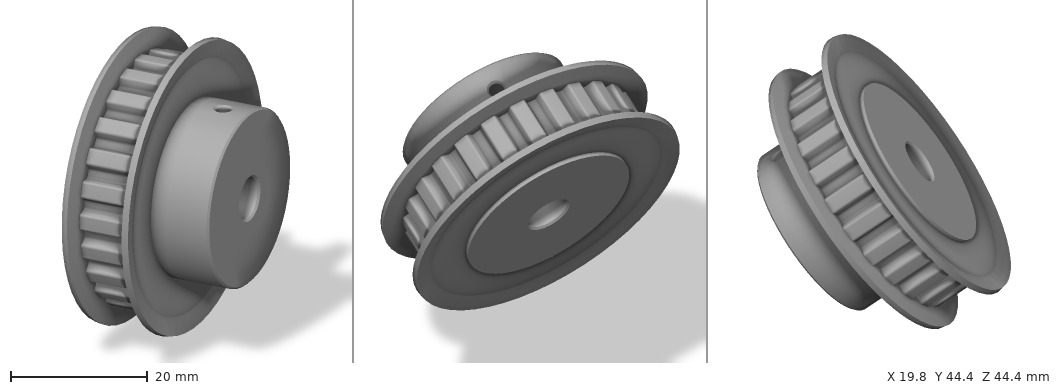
import cadquery as cq
import math

overall_length = 19.82
boss_height = 0.65
flange_thickness = 1.0
belt_width = 7.82

flange_radius = 22.22
flat_radius = 19.3
dish_angle = math.radians(11)

tooth_count = 24
tip_radius = 19.15
groove_depth = 1.42
groove_floor_width = 1.35
groove_flank_angle = math.radians(25)
tooth_fillet = 0.41

hub_radius = 13.5
bore_radius = 3.2
edge_chamfer = 0.302

screw_x = 15.5
screw_hole_radius = 1.15
screw_mouth_radius = 1.5

teeth_start = boss_height + flange_thickness
teeth_end = teeth_start + belt_width
teeth_middle = (teeth_start + teeth_end) / 2
pitch_angle = 360 / tooth_count


def x_cylinder(radius, x_start, x_end):
    return cq.Workplane("YZ", origin=(x_start, 0, 0)).circle(radius).extrude(x_end - x_start)


def toothed_rim():
    """Cylinder with tapered grooves, rounded at the tooth tips and groove roots."""
    floor_z = tip_radius - groove_depth
    cutter_top_z = tip_radius + groove_depth
    floor_half = groove_floor_width / 2
    top_half = floor_half + (cutter_top_z - floor_z) * math.tan(groove_flank_angle)
    groove = (
        cq.Workplane("YZ", origin=(teeth_start, 0, 0))
        .polyline([
            (-floor_half, floor_z),
            (floor_half, floor_z),
            (top_half, cutter_top_z),
            (-top_half, cutter_top_z),
        ])
        .close()
        .extrude(belt_width)
    )
    axis_start, axis_end = (0, 0, 0), (1, 0, 0)
    rim = x_cylinder(tip_radius, teeth_start, teeth_end).rotate(axis_start, axis_end, pitch_angle / 2)
    for index in range(tooth_count):
        rim = rim.cut(groove.rotate(axis_start, axis_end, (index + 0.5) * pitch_angle))
    return rim.edges("|X").fillet(tooth_fillet)


def left_flange():
    """Sheet disc of even thickness whose edge is bent outward, away from the teeth."""
    rim_outer_radius = flange_radius - flange_thickness * math.sin(dish_angle)
    rim_outer_x = boss_height - (rim_outer_radius - flat_radius) * math.tan(dish_angle)
    rim_inner_x = rim_outer_x + flange_thickness * math.cos(dish_angle)
    inner_flat_radius = flange_radius - (teeth_start - rim_inner_x) / math.tan(dish_angle)
    return (
        cq.Workplane("XY")
        .polyline([
            (boss_height, 0),
            (boss_height, flat_radius),
            (rim_outer_x, rim_outer_radius),
            (rim_inner_x, flange_radius),
            (teeth_start, inner_flat_radius),
            (teeth_start, 0),
        ])
        .close()
        .revolve(360, (0, 0, 0), (1, 0, 0))
    )


def hub():
    """Core running the full length: boss at the left end, chamfered hub at the right end."""
    return x_cylinder(hub_radius, 0, overall_length).faces(">X").edges().chamfer(edge_chamfer)


def bore():
    """Through bore with a chamfered mouth at both ends."""
    mouth_radius = bore_radius + edge_chamfer
    return (
        cq.Workplane("XY")
        .polyline([
            (0, 0),
            (0, mouth_radius),
            (edge_chamfer, bore_radius),
            (overall_length - edge_chamfer, bore_radius),
            (overall_length, mouth_radius),
            (overall_length, 0),
        ])
        .close()
        .revolve(360, (0, 0, 0), (1, 0, 0))
    )


def screw_hole():
    """Radial hole along +Z from the bore to the hub surface, with a 45 degree countersink."""
    countersink_depth = screw_mouth_radius - screw_hole_radius
    return (
        cq.Workplane("XZ", origin=(screw_x, 0, 0))
        .polyline([
            (0, 0),
            (screw_hole_radius, 0),
            (screw_hole_radius, hub_radius - countersink_depth),
            (screw_mouth_radius, hub_radius),
            (0, hub_radius),
        ])
        .close()
        .revolve(360, (0, 0, 0), (0, 1, 0))
    )


flange = left_flange()
pulley = toothed_rim().union(flange)
pulley = pulley.union(flange.mirror("YZ", (teeth_middle, 0, 0)))
pulley = pulley.union(hub()).cut(bore())

for turn in (0, -90):
    pulley = pulley.cut(screw_hole().rotate((0, 0, 0), (1, 0, 0), turn))

result = pulley